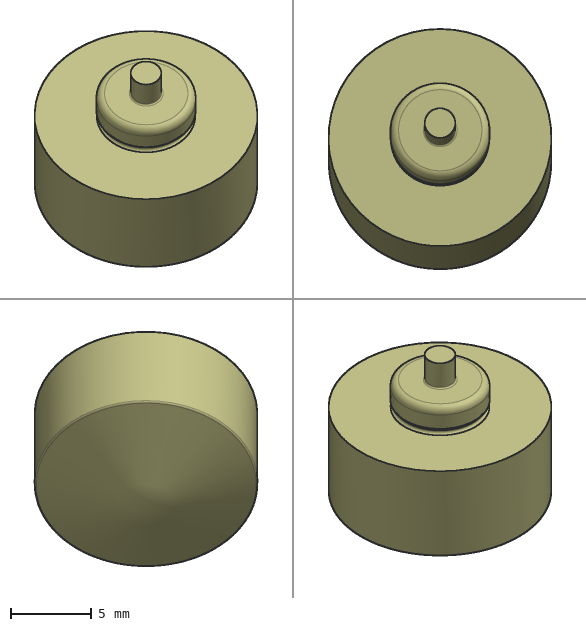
import cadquery as cq
import math

base_radius = 6.95
base_top = 9.0
cone_slope = 20.0
base_edge_fillet = 0.14
cone_height = base_radius * math.tan(math.radians(cone_slope))

knob_radius = 3.1
knob_height = 2.08
knob_top_fillet = 0.5
neck_radius = 2.89
neck_height = 0.25
neck_fillet = 0.2
chamfer_height = 0.26
pin_radius = 1.9 / 2
pin_fillet = 0.1
overall_height = 12.99

neck_top = base_top + neck_height
knob_rim_bottom = neck_top + chamfer_height
knob_top = base_top + knob_height


def make_base():
    """Pointed cylinder with a rounded edge between its wall and its cone."""
    half_section = (
        cq.Workplane("XZ")
        .moveTo(0, 0)
        .lineTo(base_radius, cone_height)
        .lineTo(base_radius, base_top)
        .lineTo(0, base_top)
        .close()
    )
    base = half_section.revolve(360, (0, 0, 0), (0, 1, 0))
    return base.edges("%CIRCLE").edges("<Z").fillet(base_edge_fillet)


def make_knob():
    """Knob, flared neck and flared pin, turned as one piece that sits on the base."""
    half_section = (
        cq.Workplane("XZ")
        .moveTo(0, base_top)
        .lineTo(neck_radius + neck_fillet, base_top)
        .radiusArc((neck_radius, base_top + neck_fillet), neck_fillet)
        .lineTo(neck_radius, neck_top)
        .lineTo(knob_radius, knob_rim_bottom)
        .lineTo(knob_radius, knob_top - knob_top_fillet)
        .radiusArc((knob_radius - knob_top_fillet, knob_top), -knob_top_fillet)
        .lineTo(pin_radius + pin_fillet, knob_top)
        .radiusArc((pin_radius, knob_top + pin_fillet), pin_fillet)
        .lineTo(pin_radius, overall_height)
        .lineTo(0, overall_height)
        .close()
    )
    return half_section.revolve(360, (0, 0, 0), (0, 1, 0))


base = make_base()
knob = make_knob()

result = cq.Compound.makeCompound([base.val(), knob.val()])